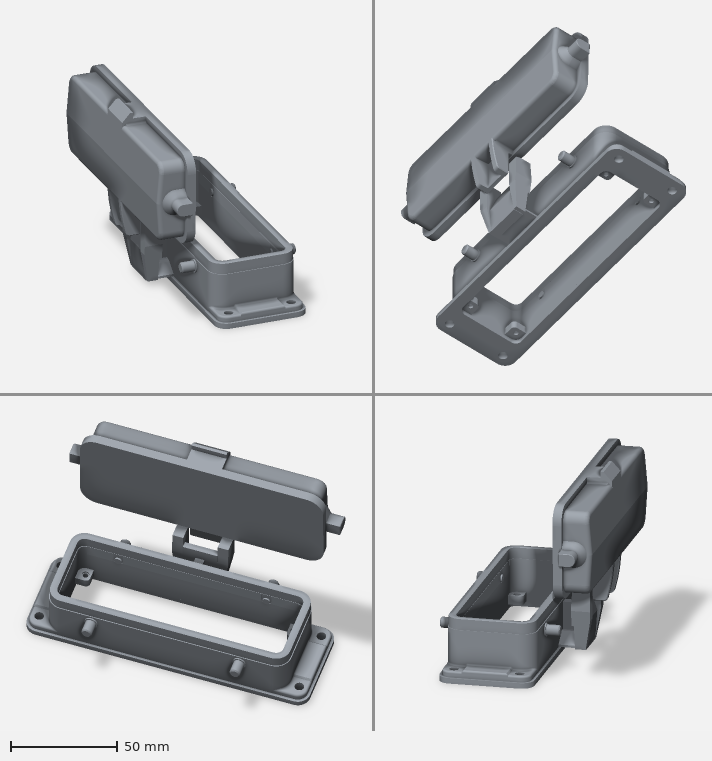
import cadquery as cq
import math


EDGE_MARGIN = 0.1

GASKET_LENGTH = 141.0
GASKET_WIDTH = 46.0
GASKET_HEIGHT = 2.7
GASKET_CORNER = 6.0

FLANGE_LENGTH = 138.5
FLANGE_WIDTH = 43.3
FLANGE_TOP = 5.6
FLANGE_CORNER = 5.0
FLANGE_EDGE_FILLET = 1.0
BAND_TOP = 6.5
BAND_HALF_WIDTH = 10.5
BAND_SLOPE_RUN = 0.8
HOLE_DIAMETER = 4.5
HOLE_X = 64.9
HOLE_Y = 16.0

WALL_LENGTH = 120.4
WALL_WIDTH = 43.4
WALL_CORNER = 7.6
WALL_FOOT_FILLET = 0.8
RIM_INSET = 0.4
RIM_BOTTOM = 23.4
RIM_TOP = 29.0
RIM_CROWN = 0.3
OPENING_LENGTH = 112.0
OPENING_WIDTH = 34.7
OPENING_CORNER = 3.4
WALL_RELIEF_DEPTH = 0.3
WALL_RELIEF_Z = 17.8

TAB_EDGE_X = 49.0
TAB_EDGE_Y = 10.0
TAB_TOP = 7.0
TAB_CORNER = 2.1
TAB_ROOT = 1.4
TAB_HOLE_X = 51.9
TAB_HOLE_Y = 13.5
TAB_HOLE_DIAMETER = 2.5
TAB_SINK_DIAMETER = 3.5
TAB_SINK_DEPTH = 0.7

PEG_X = 37.0
PEG_Z = 19.3
PEG_END_Y = 29.0
PEG_DIAMETER = 5.2
PEG_CHAMFER = 0.5
SHANK_DIAMETER = 3.7
SHANK_END_Y = 16.8
COLLAR_DIAMETER = 6.5
COLLAR_END_Y = 22.4
SPOTFACE_WIDTH = 4.8

EAR_INNER_X = 8.6
EAR_OUTER_X = 14.0
EAR_FOOT_X = 10.6
EAR_TAPER_Z = 22.0
EAR_TOP = 34.1
EAR_TOP_BACK_Y = -29.2
EAR_TOP_BEND_Y = -34.8
EAR_SHOULDER_Z = 33.1
EAR_FRONT_Y = -37.6
EAR_FRONT_BEND_Z = 17.5
HEEL_Y = -28.5
HEEL_TOP = 23.1
HEEL_BOTTOM = 14.1
BRACKET_BACK_Y = -29.6
BRACKET_FOOT_Y = -34.8
BRACKET_BOTTOM = 2.1
CRADLE_BOTTOM = 1.8
CRADLE_FRONT_Y = -35.8
CRADLE_BEND_Z = 16.2
CRADLE_SEAT_Y = -33.3
CRADLE_SEAT_Z = 23.8
CRADLE_TOP_Y = -31.6
CRADLE_TOP = 28.2
ARM_BOTTOM = 2.8
ARM_FOOT_X = 10.9
ARM_FOOT_TOP = 4.0
ARM_SHOULDER_X = 5.6
ARM_SHOULDER_Z = 8.2
ARM_RIB_X = 4.1
ARM_RIB_Z = 9.0
ARM_WEB_X = 2.3
ARM_TOP = 22.5

COVER_Z = 63.7
COVER_TILT = 0.6
COVER_BACK_Y = -30.9
COVER_PLATE_FRONT_Y = -35.2
COVER_PLATE_LENGTH = 121.3
COVER_PLATE_HEIGHT = 46.5
COVER_PLATE_CORNER = 8.6
COVER_BOX_LENGTH = 114.5
COVER_BOX_HEIGHT = 40.3
COVER_BOX_CORNER = 5.1
COVER_BOX_FILLET = 2.0
COVER_CORNER_FILLET = 1.0
COVER_RIDGE_Y = -48.9
COVER_EDGE_Y = -47.4

CATCH_HALF_WIDTH = 8.7
CATCH_TOP = 90.0
CATCH_BACK_Y = -41.7
CATCH_TIP_Y = -43.3
CATCH_FOOT_Z = 85.6

STUD_RADIUS = 3.2
STUD_ROOT_RADIUS = 6.5
STUD_AXIS_Y = -40.0
STUD_END_X = 67.5
STUD_CHAMFER = 0.3

LEG_HALF_WIDTH = 8.3
LEG_BACK_Y = -37.5
LEG_BOTTOM = 26.1
LEG_BOTTOM_FRONT_Y = -44.0
LEG_TOE_FILLET = 1.7
LEG_NECK_Z = 41.0
LEG_NECK_FILLET = 0.8
LEG_EDGE_CHAMFER = 0.4
LEG_PANEL_HALF_WIDTH = 5.0
LEG_PANEL_MOUTH_HALF_WIDTH = 5.8
LEG_PANEL_Y = -39.3


def corner_places(x, y):
    return [(side_x * x, side_y * y) for side_x in (-1, 1) for side_y in (-1, 1)]


def rounded_block(length, width, bottom, top, corner):
    """Upright block on the Z axis with rounded vertical edges."""
    block = cq.Workplane("XY").box(length, width, top - bottom, centered=(True, True, False))
    return block.edges("|Z").fillet(corner).translate((0, 0, bottom))


def rounded_panel(length, height, back_y, front_y, corner):
    """Block at the cover's middle height with rounded edges along Y."""
    panel = cq.Workplane("XY").box(length, back_y - front_y, height)
    return panel.edges("|Y").fillet(corner).translate((0, (back_y + front_y) / 2, COVER_Z))


def side_profile(points, half_width):
    """Prism of a (Y, Z) outline, symmetric about X = 0."""
    return cq.Workplane("YZ").polyline(points).close().extrude(half_width, both=True)


def end_profile(points, back_y, front_y):
    """Prism of an (X, Z) outline from back_y forward to front_y."""
    plane = cq.Workplane("XZ", origin=(0, back_y, 0))
    return plane.polyline(points).close().extrude(back_y - front_y)


def cross_bar(x, start_y, end_y, diameter):
    """Cylinder along +Y at the height of the pegs."""
    plane = cq.Workplane("XZ", origin=(x, end_y, PEG_Z))
    return plane.circle(diameter / 2).extrude(end_y - start_y)


def both_sides(body):
    """The body together with its mirror image across Y = 0."""
    return body.union(body.mirror("XZ"))


def mounting_holes():
    holes = cq.Workplane("XY").pushPoints(corner_places(HOLE_X, HOLE_Y))
    return holes.circle(HOLE_DIAMETER / 2).extrude(BAND_TOP)


def make_gasket():
    gasket = rounded_block(GASKET_LENGTH, GASKET_WIDTH, 0, GASKET_HEIGHT, GASKET_CORNER)
    opening = rounded_block(OPENING_LENGTH, OPENING_WIDTH, 0, GASKET_HEIGHT, OPENING_CORNER)
    return gasket.cut(opening).cut(mounting_holes())


def make_peg(x, side):
    """Stepped peg; side is +1 or -1 for the wall on +Y or -Y."""
    head = cross_bar(x, COLLAR_END_Y, PEG_END_Y, PEG_DIAMETER).faces(">Y").chamfer(PEG_CHAMFER)
    peg = head.union(cross_bar(x, SHANK_END_Y, COLLAR_END_Y, SHANK_DIAMETER))
    return peg if side > 0 else peg.mirror("XZ")


def make_flange():
    flange = rounded_block(FLANGE_LENGTH, FLANGE_WIDTH, GASKET_HEIGHT, FLANGE_TOP, FLANGE_CORNER)
    flange = flange.faces(">Z").edges().fillet(FLANGE_EDGE_FILLET)
    band_foot = BAND_HALF_WIDTH + BAND_SLOPE_RUN
    band_outline = [
        (-band_foot, GASKET_HEIGHT),
        (-band_foot, FLANGE_TOP),
        (-BAND_HALF_WIDTH, BAND_TOP),
        (BAND_HALF_WIDTH, BAND_TOP),
        (band_foot, FLANGE_TOP),
        (band_foot, GASKET_HEIGHT),
    ]
    band = side_profile(band_outline, FLANGE_LENGTH / 2)
    band = band.faces(">Z").edges("|Y").fillet(FLANGE_EDGE_FILLET)
    return flange.union(band).cut(mounting_holes())


def wall_foot_selector(wall_x):
    """Picks the straight edges where the end wall at wall_x meets the flange."""
    half_y = WALL_WIDTH / 2 - WALL_CORNER
    return cq.selectors.BoxSelector(
        (wall_x - EDGE_MARGIN, -half_y, FLANGE_TOP - EDGE_MARGIN),
        (wall_x + EDGE_MARGIN, half_y, BAND_TOP + EDGE_MARGIN),
    )


def make_base():
    """Flange with straight walls up to the rim, rounded at the foot of the end walls; not yet opened."""
    walls = rounded_block(WALL_LENGTH, WALL_WIDTH, GASKET_HEIGHT, RIM_BOTTOM, WALL_CORNER)
    base = make_flange().union(walls)
    right_foot = wall_foot_selector(WALL_LENGTH / 2)
    left_foot = wall_foot_selector(-WALL_LENGTH / 2)
    return base.edges(right_foot + left_foot).fillet(WALL_FOOT_FILLET)


def make_rim():
    """Crowned rim, narrower than the walls on both sides, swept around the opening."""
    outer_x = WALL_LENGTH / 2 - RIM_INSET
    outer_y = WALL_WIDTH / 2 - RIM_INSET
    inner_y = OPENING_WIDTH / 2 + RIM_INSET
    thickness = outer_y - inner_y
    half_x = outer_x - thickness / 2
    half_y = outer_y - thickness / 2
    corner = WALL_CORNER - RIM_INSET - thickness / 2
    path = (
        cq.Workplane("XY", origin=(0, 0, RIM_BOTTOM))
        .moveTo(0, -half_y)
        .lineTo(half_x - corner, -half_y)
        .tangentArcPoint((half_x, corner - half_y), relative=False)
        .lineTo(half_x, half_y - corner)
        .tangentArcPoint((half_x - corner, half_y), relative=False)
        .lineTo(corner - half_x, half_y)
        .tangentArcPoint((-half_x, half_y - corner), relative=False)
        .lineTo(-half_x, corner - half_y)
        .tangentArcPoint((corner - half_x, -half_y), relative=False)
        .close()
    )
    shoulder_z = RIM_TOP - RIM_CROWN
    profile = (
        cq.Workplane("YZ")
        .moveTo(-outer_y, RIM_BOTTOM)
        .lineTo(-outer_y, shoulder_z)
        .threePointArc((-half_y, RIM_TOP), (-inner_y, shoulder_z))
        .lineTo(-inner_y, RIM_BOTTOM)
        .close()
    )
    return profile.sweep(path)


def make_opening():
    """Opening through the walls that slopes out slightly just below the rim."""
    opening = rounded_block(OPENING_LENGTH, OPENING_WIDTH, 0, RIM_BOTTOM, OPENING_CORNER)
    half_width = OPENING_WIDTH / 2
    relief_outline = [
        (0, WALL_RELIEF_Z),
        (half_width, WALL_RELIEF_Z),
        (half_width + WALL_RELIEF_DEPTH, RIM_BOTTOM),
        (0, RIM_BOTTOM),
    ]
    relief = both_sides(side_profile(relief_outline, OPENING_LENGTH / 2 - OPENING_CORNER))
    return opening.union(relief)


def make_spotfaces():
    """Flats cut into the inner walls, round below each peg and open up to the rim."""
    wall_y = OPENING_WIDTH / 2
    rise = RIM_BOTTOM - PEG_Z
    flats = cq.Workplane("XY")
    for x in (-PEG_X, PEG_X):
        slot = cq.Workplane("XY").box(SPOTFACE_WIDTH, WALL_RELIEF_DEPTH, rise, centered=(True, False, False))
        flats = flats.union(slot.translate((x, wall_y, PEG_Z)))
        flats = flats.union(cross_bar(x, wall_y, wall_y + WALL_RELIEF_DEPTH, SPOTFACE_WIDTH))
    return both_sides(flats)


def make_peg_collars():
    collars = cq.Workplane("XY")
    root_y = OPENING_WIDTH / 2 + WALL_RELIEF_DEPTH
    for x in (-PEG_X, PEG_X):
        collars = collars.union(cross_bar(x, root_y, COLLAR_END_Y, COLLAR_DIAMETER))
    return both_sides(collars)


def make_tabs():
    """Four corner tabs with countersunk screw holes, reaching from the walls into the opening."""
    size_x = OPENING_LENGTH / 2 + TAB_ROOT - TAB_EDGE_X
    size_y = OPENING_WIDTH / 2 + TAB_ROOT - TAB_EDGE_Y
    height = TAB_TOP - GASKET_HEIGHT
    tab = cq.Workplane("XY").box(size_x, size_y, height, centered=False)
    tab = tab.edges("|Z and <X and <Y").fillet(TAB_CORNER)
    tab = tab.translate((TAB_EDGE_X, TAB_EDGE_Y, GASKET_HEIGHT))
    plane = cq.Workplane("XY", origin=(TAB_HOLE_X, TAB_HOLE_Y, TAB_TOP))
    tab = tab.cut(plane.circle(TAB_HOLE_DIAMETER / 2).extrude(-height))
    tab = tab.cut(plane.circle(TAB_SINK_DIAMETER / 2).extrude(-TAB_SINK_DEPTH))
    return both_sides(tab.union(tab.mirror("YZ")))


def make_ears():
    """Two bracket ears whose outer faces taper inward towards the foot."""
    outline = [
        (EAR_TOP_BACK_Y, EAR_TOP),
        (EAR_TOP_BEND_Y, EAR_TOP),
        (EAR_FRONT_Y, EAR_SHOULDER_Z),
        (EAR_FRONT_Y, EAR_FRONT_BEND_Z),
        (BRACKET_FOOT_Y, BRACKET_BOTTOM),
        (BRACKET_BACK_Y, BRACKET_BOTTOM),
        (BRACKET_BACK_Y, HEEL_BOTTOM),
        (HEEL_Y, HEEL_BOTTOM),
        (HEEL_Y, HEEL_TOP),
    ]
    right_side = [
        (EAR_INNER_X, BRACKET_BOTTOM),
        (EAR_FOOT_X, BRACKET_BOTTOM),
        (EAR_OUTER_X, EAR_TAPER_Z),
        (EAR_OUTER_X, EAR_TOP),
        (EAR_INNER_X, EAR_TOP),
    ]
    ear = side_profile(outline, EAR_OUTER_X).intersect(end_profile(right_side, HEEL_Y, EAR_FRONT_Y))
    return ear.union(ear.mirror("YZ"))


def make_cradle():
    """Block between the ears with a sloping seat."""
    outline = [
        (HEEL_Y, CRADLE_TOP),
        (CRADLE_TOP_Y, CRADLE_TOP),
        (CRADLE_SEAT_Y, CRADLE_SEAT_Z),
        (CRADLE_FRONT_Y, CRADLE_BEND_Z),
        (BRACKET_FOOT_Y, CRADLE_BOTTOM),
        (BRACKET_BACK_Y, CRADLE_BOTTOM),
        (BRACKET_BACK_Y, HEEL_BOTTOM),
        (HEEL_Y, HEEL_BOTTOM),
    ]
    return side_profile(outline, EAR_INNER_X)


def make_arm():
    """Ribbed arm that carries the bracket on the front wall."""
    right_side = [
        (ARM_FOOT_X, ARM_BOTTOM),
        (ARM_FOOT_X, ARM_FOOT_TOP),
        (ARM_SHOULDER_X, ARM_SHOULDER_Z),
        (ARM_RIB_X, ARM_RIB_Z),
        (ARM_WEB_X, ARM_RIB_Z),
        (ARM_WEB_X, ARM_TOP),
    ]
    left_side = [(-x, z) for x, z in reversed(right_side)]
    return end_profile(right_side + left_side, RIM_INSET - WALL_WIDTH / 2, BRACKET_BACK_Y)


def make_housing(pegs):
    housing = make_base().cut(make_opening()).cut(make_spotfaces())
    for part in (make_rim(), make_peg_collars(), make_tabs(), make_arm(), make_ears(), make_cradle()):
        housing = housing.union(part)
    for peg in pegs:
        housing = housing.cut(peg)
    return housing


def make_cover_box():
    """Raised box of the cover; its front is two flat faces that meet in a ridge."""
    box = rounded_panel(
        COVER_BOX_LENGTH, COVER_BOX_HEIGHT, COVER_PLATE_FRONT_Y, COVER_RIDGE_Y, COVER_BOX_CORNER
    )
    half = COVER_BOX_HEIGHT / 2
    roof = [
        (COVER_PLATE_FRONT_Y, COVER_Z - half),
        (COVER_EDGE_Y, COVER_Z - half),
        (COVER_RIDGE_Y, COVER_Z),
        (COVER_EDGE_Y, COVER_Z + half),
        (COVER_PLATE_FRONT_Y, COVER_Z + half),
    ]
    box = box.intersect(side_profile(roof, COVER_BOX_LENGTH))
    front_rim = cq.selectors.BoxSelector(
        (-COVER_BOX_LENGTH, COVER_RIDGE_Y + EDGE_MARGIN, 0),
        (COVER_BOX_LENGTH, COVER_EDGE_Y + EDGE_MARGIN, 2 * COVER_Z),
    )
    return box.edges(front_rim).fillet(COVER_BOX_FILLET)


def cover_front_y(z):
    """Y of the cover's sloping front at height z, continued above and below the box."""
    slope = (COVER_EDGE_Y - COVER_RIDGE_Y) / (COVER_BOX_HEIGHT / 2)
    return COVER_RIDGE_Y + slope * abs(z - COVER_Z)


def make_catch():
    """Bridge from the plate to the box that ends in an upright hook."""
    plate_top = COVER_Z + COVER_PLATE_HEIGHT / 2
    outline = [
        (COVER_PLATE_FRONT_Y, COVER_Z),
        (COVER_PLATE_FRONT_Y, plate_top),
        (CATCH_BACK_Y, plate_top),
        (CATCH_BACK_Y, CATCH_TOP),
        (CATCH_TIP_Y, CATCH_TOP),
        (cover_front_y(CATCH_FOOT_Z), CATCH_FOOT_Z),
        (COVER_RIDGE_Y, COVER_Z),
    ]
    return side_profile(outline, CATCH_HALF_WIDTH)


def stud_outline(x, radius):
    """Half-round outline, open towards the cover's back, in the plane at X = x."""
    plane = cq.Workplane("YZ", origin=(x, 0, COVER_Z))
    outline = plane.moveTo(COVER_PLATE_FRONT_Y, radius).lineTo(STUD_AXIS_Y, radius)
    return outline.threePointArc((STUD_AXIS_Y - radius, 0), (STUD_AXIS_Y, -radius)).lineTo(
        COVER_PLATE_FRONT_Y, -radius
    ).close()


def make_stud():
    """Half-round stud on the +X end with a flared root."""
    root_x = COVER_BOX_LENGTH / 2
    neck_x = COVER_PLATE_LENGTH / 2
    stud = stud_outline(root_x, STUD_RADIUS).extrude(STUD_END_X - root_x)
    stud = stud.faces(">X").chamfer(STUD_CHAMFER)
    root_wire = stud_outline(root_x, STUD_ROOT_RADIUS).val()
    neck_wire = stud_outline(neck_x, STUD_RADIUS).val()
    return stud.union(cq.Workplane(cq.Solid.makeLoft([root_wire, neck_wire], True)))


def make_leg():
    """Hinge leg whose front curves on from the box, with a deep panel between two side ribs."""
    outline = (
        cq.Workplane("YZ")
        .moveTo(COVER_PLATE_FRONT_Y, COVER_Z)
        .lineTo(COVER_RIDGE_Y, COVER_Z)
        .lineTo(COVER_EDGE_Y, COVER_Z - COVER_BOX_HEIGHT / 2)
        .tangentArcPoint((LEG_BOTTOM_FRONT_Y, LEG_BOTTOM), relative=False)
        .lineTo(LEG_BACK_Y, LEG_BOTTOM)
        .lineTo(LEG_BACK_Y, LEG_NECK_Z)
        .lineTo(COVER_PLATE_FRONT_Y, LEG_NECK_Z)
        .close()
    )
    leg = outline.extrude(LEG_HALF_WIDTH, both=True)
    toe_edge = cq.selectors.NearestToPointSelector((0, LEG_BOTTOM_FRONT_Y, LEG_BOTTOM))
    leg = leg.edges(toe_edge).fillet(LEG_TOE_FILLET)
    neck_edge = cq.selectors.NearestToPointSelector((0, LEG_BACK_Y, LEG_NECK_Z))
    leg = leg.edges(neck_edge).fillet(LEG_NECK_FILLET)
    front_edges = cq.selectors.BoxSelector(
        (-COVER_PLATE_LENGTH, COVER_RIDGE_Y, LEG_BOTTOM),
        (COVER_PLATE_LENGTH, LEG_BOTTOM_FRONT_Y + LEG_TOE_FILLET, COVER_Z - LEG_TOE_FILLET),
    )
    leg = leg.edges(front_edges).edges("not |X").chamfer(LEG_EDGE_CHAMFER)
    panel_outline = [
        (-LEG_PANEL_HALF_WIDTH, LEG_PANEL_Y),
        (-LEG_PANEL_MOUTH_HALF_WIDTH, COVER_RIDGE_Y),
        (LEG_PANEL_MOUTH_HALF_WIDTH, COVER_RIDGE_Y),
        (LEG_PANEL_HALF_WIDTH, LEG_PANEL_Y),
    ]
    plane = cq.Workplane("XY", origin=(0, 0, LEG_BOTTOM))
    return leg.cut(plane.polyline(panel_outline).close().extrude(COVER_Z - LEG_BOTTOM))


def make_corner_fills(x, direction):
    """Concave fillets beside the catch (direction +1) or the leg (-1) where it leaves the box."""
    box_z = COVER_Z + direction * COVER_BOX_HEIGHT / 2
    radius = COVER_CORNER_FILLET
    inset = radius * (1 - math.sqrt(0.5))
    fill = (
        cq.Workplane("XZ", origin=(0, COVER_PLATE_FRONT_Y, 0))
        .moveTo(x, box_z)
        .lineTo(x + radius, box_z)
        .threePointArc((x + inset, box_z + direction * inset), (x, box_z + direction * radius))
        .close()
        .extrude(COVER_PLATE_FRONT_Y - COVER_EDGE_Y - COVER_BOX_FILLET)
    )
    return fill.union(fill.mirror("YZ"))


def make_cover():
    plate = rounded_panel(
        COVER_PLATE_LENGTH, COVER_PLATE_HEIGHT, COVER_BACK_Y, COVER_PLATE_FRONT_Y, COVER_PLATE_CORNER
    )
    stud = make_stud()
    cover = plate.union(make_cover_box())
    catch_fills = make_corner_fills(CATCH_HALF_WIDTH, 1)
    leg_fills = make_corner_fills(LEG_HALF_WIDTH, -1)
    for part in (make_catch(), catch_fills, make_leg(), leg_fills, stud, stud.mirror("YZ")):
        cover = cover.union(part)
    pivot = (0, COVER_BACK_Y, COVER_Z)
    return cover.rotate(pivot, (1, COVER_BACK_Y, COVER_Z), -COVER_TILT)


gasket = make_gasket()
pegs = [make_peg(x, side) for x in (-PEG_X, PEG_X) for side in (-1, 1)]
housing = make_housing(pegs)
cover = make_cover()

result = cq.Compound.makeCompound([housing.val(), gasket.val(), cover.val(), *[peg.val() for peg in pegs]])